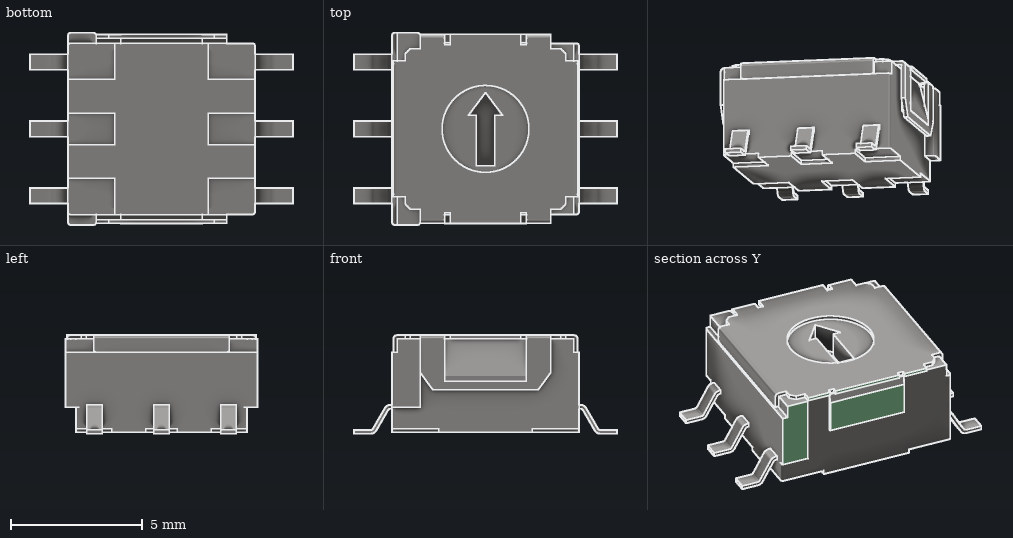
import cadquery as cq
import math

overall_x = 10.0
top_z = 3.75
sheet = 0.15

body_x = 7.1
body_y = 6.5
body_bottom_z = 0.05
body_top_z = top_z - sheet
neck_x = 6.7
neck_z = 3.1
edge_radius = 0.1
wide_y = 7.3
wide_bottom_z = 1.0

recess_top_z = 0.2
recess_inner_x = 1.78
corner_recess_y = 1.88
middle_recess_y = 1.2

cover_x = neck_x + 2 * sheet
cover_y = 7.18
bend_radius = sheet
end_flap_y = 5.16
end_flap_corner_radius = 0.1
side_flap_x = 4.96
side_flap_foot_x = 4.0
side_flap_bottom_z = 1.67
side_flap_shoulder_z = 2.33
cover_corner = 3.05
cover_corner_chamfer = 0.2

window_x = 3.1
window_bottom_z = 2.0
tab_x = 2.68
slit_end_y = 3.19
latch_edge_y = 3.6
latch_edge_z = 2.2
latch_top_y = 3.26

rotor_diameter = 3.3
rotor_top_z = top_z - sheet
arrow_tip_y = 1.38
arrow_head_y = 0.51
arrow_tail_y = -1.39
arrow_head_x = 1.3
arrow_shaft_x = 0.7
arrow_depth = 1.0

lead_pitch = 2.54
lead_width = 0.6
lead_top_z = 1.1
lead_foot_length = 0.7
lead_angle = math.radians(60)
lead_inner_radius = 0.1
lead_root_x = 3.3


def block(x_range, y_range, z_range):
    """Box spanning the given (low, high) ranges."""
    size = [high - low for low, high in (x_range, y_range, z_range)]
    return cq.Workplane("XY").box(*size, centered=False).translate(
        (x_range[0], y_range[0], z_range[0])
    )


def centred(width):
    return (-width / 2, width / 2)


def both_ends(shape, plane):
    """Shape together with its mirror image."""
    return shape.union(shape.mirror(plane))


def make_housing():
    lower = block(centred(body_x), centred(body_y), (body_bottom_z, neck_z))
    lower = lower.edges("|Z").fillet(edge_radius)
    wide_x = (-body_x / 2, -side_flap_x / 2)
    wide = block(wide_x, centred(wide_y), (wide_bottom_z, body_top_z))
    wide = wide.edges("|Z").fillet(edge_radius)
    neck = block(centred(neck_x), centred(body_y), (neck_z, body_top_z))
    step = block(
        (-body_x, -neck_x / 2), centred(2 * wide_y), (neck_z, top_z)
    )
    return lower.union(neck).union(wide).cut(step)


def underside_recesses():
    """Corner pockets and middle slots below both rows of leads."""
    depth = (body_bottom_z, recess_top_z)
    pocket = block((recess_inner_x, body_x), (corner_recess_y, body_y), depth)
    slot = block((recess_inner_x, body_x), centred(middle_recess_y), depth)
    one_end = both_ends(pocket, "XZ").union(slot)
    return both_ends(one_end, "YZ")


def make_end_cover():
    """Cover plate with its two short flaps bent down over the X ends."""
    outer = block(centred(cover_x), centred(end_flap_y), (neck_z, top_z))
    outer = outer.edges("|Y and >Z").fillet(bend_radius)
    outer = outer.edges("|X and <Z").fillet(end_flap_corner_radius)
    inner = block(centred(neck_x), centred(cover_y), (0, body_top_z))
    cover = outer.cut(inner)
    plate = block(centred(2 * cover_corner), centred(2 * cover_corner), (body_top_z, top_z))
    return cover.union(plate.edges("|Z").chamfer(cover_corner_chamfer))


def make_side_flaps():
    """Long flaps standing just off the Y faces, tapered towards their lower edge."""
    half_top = side_flap_x / 2
    half_foot = side_flap_foot_x / 2
    flaps = (
        cq.Workplane("XZ", origin=(0, cover_y / 2, 0))
        .moveTo(-half_top, top_z)
        .lineTo(-half_top, side_flap_shoulder_z)
        .lineTo(-half_foot, side_flap_bottom_z)
        .lineTo(half_foot, side_flap_bottom_z)
        .lineTo(half_top, side_flap_shoulder_z)
        .lineTo(half_top, top_z)
        .close()
        .extrude(cover_y)
    )
    flaps = flaps.edges("|X and >Z").fillet(bend_radius)
    inner = block(centred(body_x), centred(cover_y - 2 * sheet), (0, body_top_z))
    return flaps.cut(inner)


def window_openings():
    """Window through each side flap, reaching through the top plate."""
    opening = block(centred(window_x), (slit_end_y, wide_y), (window_bottom_z, top_z))
    return both_ends(opening, "XZ")


def make_latches():
    """Wedges filling the windows and the flat plate tab above each of them."""
    wedge = (
        cq.Workplane("YZ", origin=(-window_x / 2, 0, 0))
        .moveTo(0, window_bottom_z)
        .lineTo(latch_edge_y, window_bottom_z)
        .lineTo(latch_edge_y, latch_edge_z)
        .lineTo(latch_top_y, body_top_z)
        .lineTo(0, body_top_z)
        .close()
        .extrude(window_x)
    )
    tab = block(centred(tab_x), (0, cover_y / 2), (body_top_z, top_z))
    return both_ends(wedge.union(tab), "XZ")


def rotor_recess():
    return (
        cq.Workplane("XY", origin=(0, 0, rotor_top_z))
        .circle(rotor_diameter / 2)
        .extrude(sheet)
    )


def arrow_slot():
    half_head = arrow_head_x / 2
    half_shaft = arrow_shaft_x / 2
    return (
        cq.Workplane("XY", origin=(0, 0, rotor_top_z - arrow_depth))
        .moveTo(0, arrow_tip_y)
        .lineTo(half_head, arrow_head_y)
        .lineTo(half_shaft, arrow_head_y)
        .lineTo(half_shaft, arrow_tail_y)
        .lineTo(-half_shaft, arrow_tail_y)
        .lineTo(-half_shaft, arrow_head_y)
        .lineTo(-half_head, arrow_head_y)
        .close()
        .extrude(arrow_depth)
    )


def make_lead():
    """One gull-wing lead at the +X end, centred on y = 0."""
    toe_x = overall_x / 2
    rise = lead_top_z - sheet
    run = rise / math.tan(lead_angle)
    mitre = sheet * math.tan(lead_angle / 2)
    upper_heel_x = toe_x - lead_foot_length
    lower_heel_x = upper_heel_x - mitre
    upper_knee_x = upper_heel_x - run
    lower_knee_x = lower_heel_x - run
    lead = (
        cq.Workplane("XZ", origin=(0, lead_width / 2, 0))
        .moveTo(lead_root_x, lead_top_z)
        .lineTo(upper_knee_x, lead_top_z)
        .lineTo(upper_heel_x, sheet)
        .lineTo(toe_x, sheet)
        .lineTo(toe_x, 0)
        .lineTo(lower_heel_x, 0)
        .lineTo(lower_knee_x, rise)
        .lineTo(lead_root_x, rise)
        .close()
        .extrude(lead_width)
    )
    outer_bends = ((upper_knee_x, lead_top_z), (lower_heel_x, 0))
    inner_bends = ((lower_knee_x, rise), (upper_heel_x, sheet))
    for bends, radius in (
        (outer_bends, lead_inner_radius + sheet),
        (inner_bends, lead_inner_radius),
    ):
        for x, z in bends:
            lead = lead.edges(cq.selectors.NearestToPointSelector((x, 0, z))).fillet(radius)
    return lead


result = make_housing().cut(underside_recesses())
result = result.union(make_end_cover()).union(make_side_flaps())
result = result.cut(window_openings()).union(make_latches())
result = result.cut(rotor_recess()).cut(arrow_slot())

lead_pair = both_ends(make_lead(), "YZ")
for row in (-1, 0, 1):
    result = result.union(lead_pair.translate((0, row * lead_pitch, 0)))